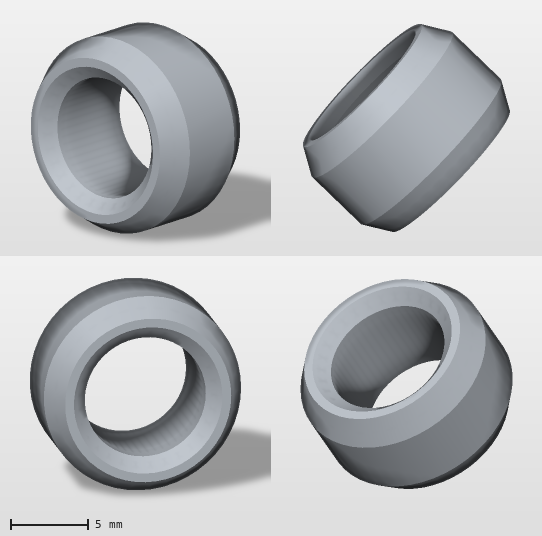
import cadquery as cq
import math

outer_diameter = 13.04
length = 8.0
bore_diameter = 8.0
face_outer_diameter = 10.98
face_inner_diameter = 9.8
outer_bevel_angle = 30.0
bore_bevel_angle = 45.0

outer_radius = outer_diameter / 2
bore_radius = bore_diameter / 2
face_outer_radius = face_outer_diameter / 2
face_inner_radius = face_inner_diameter / 2
half_length = length / 2


def bevel_length(radial_size, angle):
    """Axial length of a bevel with the given radial size."""
    return radial_size / math.tan(math.radians(angle))


outer_shoulder = half_length - bevel_length(outer_radius - face_outer_radius, outer_bevel_angle)
bore_shoulder = half_length - bevel_length(face_inner_radius - bore_radius, bore_bevel_angle)

wall_section = [
    (bore_radius, -bore_shoulder),
    (face_inner_radius, -half_length),
    (face_outer_radius, -half_length),
    (outer_radius, -outer_shoulder),
    (outer_radius, outer_shoulder),
    (face_outer_radius, half_length),
    (face_inner_radius, half_length),
    (bore_radius, bore_shoulder),
]

axis_start = (0, 0)
axis_end = (0, 1)
result = cq.Workplane("XY").polyline(wall_section).close().revolve(360, axis_start, axis_end)